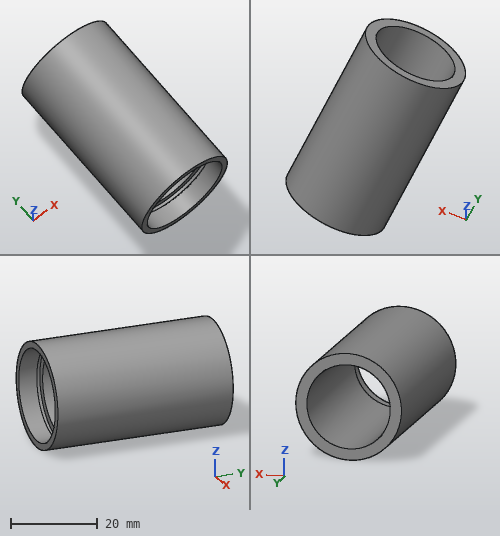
import cadquery as cq

length = 43.6
outer_diameter = 25.4
bore_diameter = 20.0
counterbore_diameter = 22.2
counterbore_depth = 4.5
groove_diameter = 23.4
groove_width = 1.0

front_y = -length / 2


def cylinder_along_y(diameter, start_y, depth):
    """Solid cylinder on the Y axis, running from start_y toward +Y."""
    start_plane = cq.Workplane("XZ", origin=(0, start_y, 0))
    return start_plane.circle(diameter / 2).extrude(-depth)


sleeve = cylinder_along_y(outer_diameter, front_y, length)
through_bore = cylinder_along_y(bore_diameter, front_y, length)
front_counterbore = cylinder_along_y(counterbore_diameter, front_y, counterbore_depth)

relief_groove = cylinder_along_y(groove_diameter, front_y + counterbore_depth, groove_width)

result = sleeve.cut(through_bore).cut(front_counterbore).cut(relief_groove)